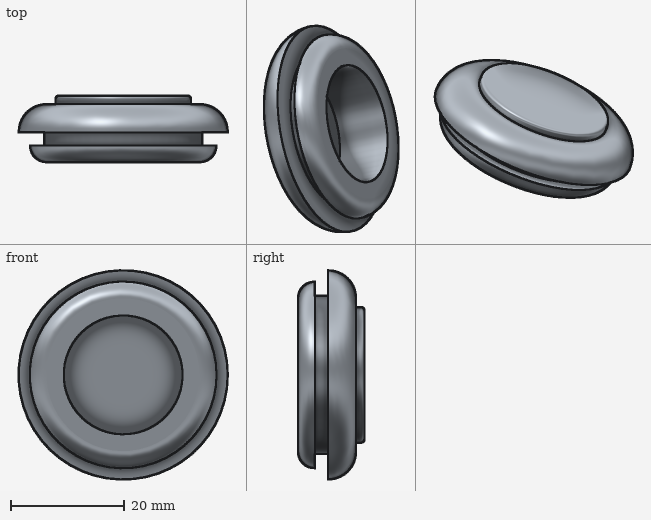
import cadquery as cq
import math

front_lip_thickness = 3.0
groove_width = 2.3
back_flange_thickness = 5.0
boss_height = 1.5

front_lip_radius = 16.5
groove_radius = 14.0
back_flange_radius = 18.5
boss_radius = 12.0
bore_radius = 10.5

boss_edge_radius = 0.7
floor_thickness = 2.0

groove_front = front_lip_thickness
groove_back = groove_front + groove_width
flange_back = groove_back + back_flange_thickness
boss_back = flange_back + boss_height
bore_depth = boss_back - floor_thickness


def disc(radius, start, length):
    """Solid cylinder about the Y axis, running from start toward +Y."""
    plane = cq.Workplane("XZ", origin=(0, start, 0))
    return plane.circle(radius).extrude(-length)


def quarter_round_disc(radius, sharp_face, thickness, direction):
    """Disc whose rim is a quarter circle as deep as the disc is thick.

    The full radius lies on sharp_face; the rim curves inward along
    direction (+1 toward +Y, -1 toward -Y).
    """
    flat_radius = radius - thickness
    round_face = sharp_face + direction * thickness
    arc_offset = thickness * math.sin(math.radians(45))
    arc_middle = (flat_radius + arc_offset, sharp_face + direction * arc_offset)
    profile = (
        cq.Workplane("XY")
        .moveTo(0, sharp_face)
        .lineTo(radius, sharp_face)
        .threePointArc(arc_middle, (flat_radius, round_face))
        .lineTo(0, round_face)
        .close()
    )
    return profile.revolve(360, (0, 0, 0), (0, 1, 0))


front_lip = quarter_round_disc(front_lip_radius, groove_front, front_lip_thickness, -1)
neck = disc(groove_radius, groove_front, groove_width)
back_flange = quarter_round_disc(back_flange_radius, groove_back, back_flange_thickness, 1)
boss = disc(boss_radius, flange_back, boss_height).faces(">Y").edges().fillet(boss_edge_radius)

bore = disc(bore_radius, 0, bore_depth)

result = front_lip.union(neck).union(back_flange).union(boss).cut(bore)